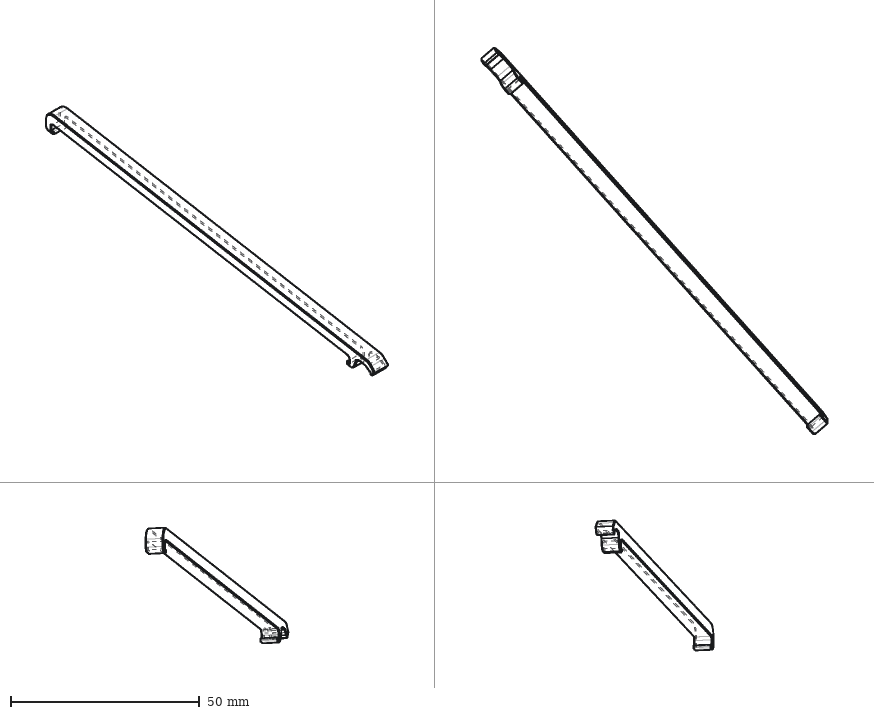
import cadquery as cq
import math

length = 134.3
width = 5.0
height = 7.0
edge_chamfer = 0.3

bar_thickness = 3.6
bar_underside = height - bar_thickness

shoulder_radius = 3.5
left_wall = 2.3
hook_reach = 3.4
lip_height = 1.1
heel_radius = 1.3
inner_radius = 0.8
lip_round = 0.4

right_lip_x = 122.6
right_inner_x = 124.0
right_bend_start = 122.8
right_bend_radius = right_inner_x - right_bend_start
right_heel_x = 126.1
right_heel_top = 1.6
outer_wall_top_x = 126.7
outer_wall_top_z = 3.2

claw_underside = 4.6
claw_roof_start = 127.9
claw_roof_end = 130.5
claw_slope = math.radians(41)
bend_start = 130.7
bend_end = 132.7
tip_z = 4.7
bend_end_z = tip_z + (length - bend_end) * math.tan(claw_slope)
tip_bottom_z = 2.8
tip_bottom_x = 133.1
claw_lip_x = 132.3
claw_lip_z = 3.5

diagonal = math.sqrt(0.5)


def build_profile():
    """Closed side outline in the XZ plane, clockwise from the left heel."""
    shoulder_offset = shoulder_radius * (1 - diagonal)
    heel_offset = heel_radius * (1 - diagonal)
    inner_offset = inner_radius * (1 - diagonal)
    bend_offset = right_bend_radius * (1 - diagonal)
    return (
        cq.Workplane("XZ", origin=(0, width / 2, 0))
        .moveTo(0, heel_radius)
        .lineTo(0, height - shoulder_radius)
        .threePointArc((shoulder_offset, height - shoulder_offset), (shoulder_radius, height))
        .lineTo(bend_start, height)
        .tangentArcPoint((bend_end, bend_end_z), relative=False)
        .lineTo(length, tip_z)
        .lineTo(tip_bottom_x, tip_bottom_z)
        .lineTo(claw_lip_x, tip_bottom_z)
        .lineTo(claw_lip_x, claw_lip_z)
        .lineTo(claw_roof_end, claw_underside)
        .lineTo(claw_roof_start, claw_underside)
        .tangentArcPoint((outer_wall_top_x, outer_wall_top_z), relative=False)
        .lineTo(right_heel_x, right_heel_top)
        .tangentArcPoint((right_heel_x - heel_radius, 0), relative=False)
        .lineTo(right_lip_x, 0)
        .lineTo(right_lip_x, lip_height)
        .lineTo(right_inner_x, lip_height)
        .lineTo(right_inner_x, bar_underside - right_bend_radius)
        .threePointArc(
            (right_inner_x - bend_offset, bar_underside - bend_offset),
            (right_bend_start, bar_underside),
        )
        .lineTo(left_wall + inner_radius, bar_underside)
        .threePointArc(
            (left_wall + inner_offset, bar_underside - inner_offset),
            (left_wall, bar_underside - inner_radius),
        )
        .lineTo(left_wall, lip_height)
        .lineTo(hook_reach, lip_height)
        .lineTo(hook_reach, 0)
        .lineTo(heel_radius, 0)
        .threePointArc((heel_offset, heel_offset), (0, heel_radius))
        .close()
    )


def round_lips(body):
    """Round the ends of both hook lips."""
    for lip_x in (hook_reach, right_lip_x):
        for lip_z in (0, lip_height):
            corner = cq.selectors.NearestToPointSelector((lip_x, 0, lip_z))
            body = body.edges(corner).fillet(lip_round)
    return body


body = round_lips(build_profile().extrude(width))

result = body.faces("<Y or >Y").edges().chamfer(edge_chamfer)